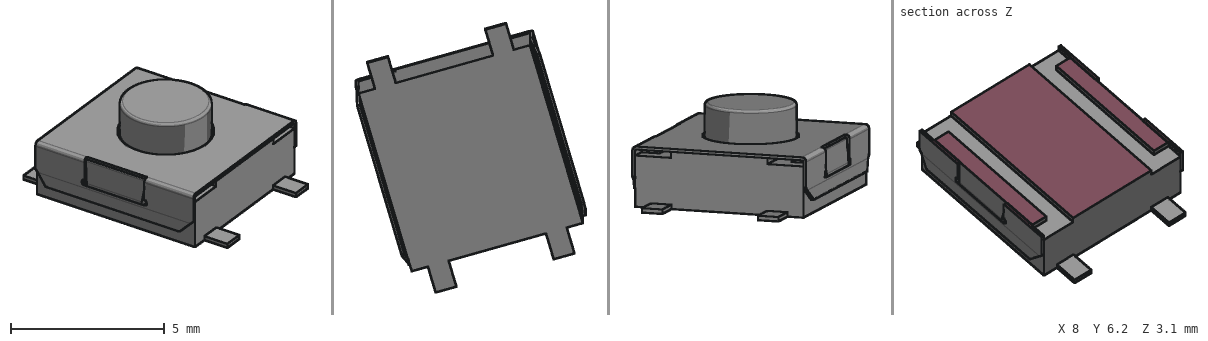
import cadquery as cq
import math


body_length = 6.2
body_width = 5.8
body_edge_radius = 0.05
notch_inner_y = 1.66
notch_height = 0.2
channel_width = 0.62
notch_depth = channel_width

button_diameter = 3.0
button_top = 3.1
button_edge_radius = 0.1

lead_span = 8.0
lead_pitch = 4.0
lead_width = 0.7
lead_thickness = 0.15

cover_width = 6.0
cover_top = 2.0
sheet = (cover_width - body_width) / 2
button_hole_diameter = 3.15
flap_angle = 15.0
flap_reach = sheet
flap_cut_top = 1.0

window_width = 2.35
window_bottom = 1.0
relief_diameter = 0.2
lug_ledge_height = sheet

half_length = body_length / 2
half_width = body_width / 2
cover_half_width = cover_width / 2
body_height = cover_top - sheet
bend_y = half_width - body_edge_radius
bend_z = body_height - body_edge_radius
flap_bend_z = window_bottom - sheet


def box(x_range, y_range, z_range):
    """Block between the given limits along each axis."""
    size = [high - low for low, high in (x_range, y_range, z_range)]
    corner = (x_range[0], y_range[0], z_range[0])
    return cq.Workplane("XY").box(*size, centered=False).translate(corner)


def with_mirror(shape, plane):
    """A shape together with its mirror image."""
    return shape.union(shape.mirror(plane))


def make_notches():
    """Corner notches at the housing top and the two channels that join them end to end."""
    z_range = (body_height - notch_height, body_height)
    channel = box((-half_length, half_length), (notch_inner_y, notch_inner_y + channel_width), z_range)
    corner = box((half_length - notch_depth, half_length), (notch_inner_y, half_width), z_range)
    return with_mirror(channel.union(with_mirror(corner, "YZ")), "XZ")


def make_lugs():
    """Snap lugs on both sides: a ramp widening downwards, with ends tapered at 45 degrees."""
    ramp = (
        cq.Workplane("YZ")
        .polyline([
            (half_width, bend_z),
            (cover_half_width, window_bottom + lug_ledge_height),
            (cover_half_width, window_bottom),
            (half_width, window_bottom),
        ])
        .close()
        .extrude(window_width / 2, both=True)
    )
    base_x = window_width / 2
    tip_x = base_x - sheet
    tapered_plan = (
        cq.Workplane("XY")
        .polyline([
            (-base_x, half_width),
            (base_x, half_width),
            (tip_x, cover_half_width),
            (-tip_x, cover_half_width),
        ])
        .close()
        .extrude(body_height)
    )
    return with_mirror(ramp.intersect(tapered_plan), "XZ")


def make_leads():
    """Two flat strips under the housing, each forming a lead at both ends."""
    return (
        cq.Workplane("XY")
        .pushPoints([(0, -lead_pitch / 2), (0, lead_pitch / 2)])
        .rect(lead_span, lead_width)
        .extrude(lead_thickness)
    )


def make_button():
    """Round button standing on the housing top."""
    return (
        cq.Workplane("XY", origin=(0, 0, body_height))
        .circle(button_diameter / 2)
        .extrude(button_top - body_height)
        .faces(">Z")
        .edges()
        .fillet(button_edge_radius)
    )


def make_housing():
    block = (
        cq.Workplane("XY")
        .rect(body_length, body_width)
        .extrude(body_height)
        .faces(">Z")
        .edges("|X")
        .fillet(body_edge_radius)
    )
    return block.cut(make_notches()).union(make_lugs()).union(make_leads()).union(make_button())


def make_half_shell():
    """The +Y half of the bent sheet: top plate, rounded bend, flap and turned-out lip."""
    angle = math.radians(flap_angle)
    lip_outer = (cover_half_width + flap_reach, flap_bend_z - flap_reach / math.tan(angle))
    lip_inner = (lip_outer[0] - sheet * math.cos(angle), lip_outer[1] - sheet * math.sin(angle))
    inner_bend_z = flap_bend_z + sheet * math.tan(angle / 2)
    outer_radius = body_edge_radius + sheet
    diagonal = math.sqrt(0.5)
    return (
        cq.Workplane("YZ")
        .moveTo(0, body_height)
        .lineTo(0, cover_top)
        .lineTo(bend_y, cover_top)
        .threePointArc(
            (bend_y + outer_radius * diagonal, bend_z + outer_radius * diagonal),
            (cover_half_width, bend_z),
        )
        .lineTo(cover_half_width, flap_bend_z)
        .lineTo(*lip_outer)
        .lineTo(*lip_inner)
        .lineTo(half_width, inner_bend_z)
        .lineTo(half_width, bend_z)
        .threePointArc(
            (bend_y + body_edge_radius * diagonal, bend_z + body_edge_radius * diagonal),
            (bend_y, body_height),
        )
        .close()
        .extrude(half_length, both=True)
    )


def make_flap_corners():
    """Wedges that cut the lower corners of a flap at 45 degrees."""
    wedge = (
        cq.Workplane("XZ")
        .polyline([
            (half_length, flap_cut_top),
            (half_length - flap_cut_top, 0),
            (half_length, 0),
        ])
        .close()
        .extrude(-body_width)
    )
    return with_mirror(wedge, "YZ")


def make_window():
    """Window from the bend of the sheet down the flap, with round reliefs at its lower corners."""
    half_window = window_width / 2
    opening = box((-half_window, half_window), (bend_y, body_width), (window_bottom, cover_top))
    relief_z = window_bottom + relief_diameter / 2
    reliefs = (
        cq.Workplane("XZ")
        .pushPoints([(-half_window, relief_z), (half_window, relief_z)])
        .circle(relief_diameter / 2)
        .extrude(-body_width)
    )
    return opening.union(reliefs)


def make_cover():
    half = make_half_shell().cut(make_flap_corners()).cut(make_window())
    button_hole = cq.Workplane("XY").circle(button_hole_diameter / 2).extrude(button_top)
    return with_mirror(half, "XZ").clean().cut(button_hole)


housing = make_housing()
cover = make_cover()

result = cq.Compound.makeCompound([housing.val(), cover.val()])